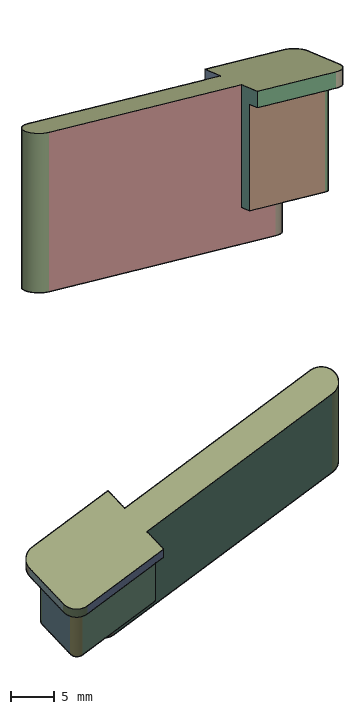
import cadquery as cq

total_length = 43.5
total_height = 19.5

blade_width = 4.0
blade_length = 36.98

flange_width = 10.0
flange_length = 13.5
flange_thickness = 2.0
flange_corner_radius = 2.0

block_width = 7.0
block_back_inset = 1.5
block_depth = 15.0
block_corner_radius = 1.0

flange_front = total_length - flange_length
block_back = total_length - block_back_inset


def plate(width, front, back, depth):
    """Box centred on X, hanging down from the top face at Z = 0."""
    return (
        cq.Workplane("XY")
        .box(width, back - front, depth, centered=(True, False, False))
        .translate((0, front, -depth))
    )


blade = (
    cq.Workplane("XY")
    .center(0, blade_length / 2)
    .slot2D(blade_length, blade_width, 90)
    .extrude(-total_height)
)

flange = (
    plate(flange_width, flange_front, total_length, flange_thickness)
    .faces(">Y")
    .edges("|Z")
    .fillet(flange_corner_radius)
)
block = (
    plate(block_width, flange_front, block_back, block_depth)
    .faces(">Y")
    .edges("|Z")
    .fillet(block_corner_radius)
)

result = blade.union(flange).union(block)